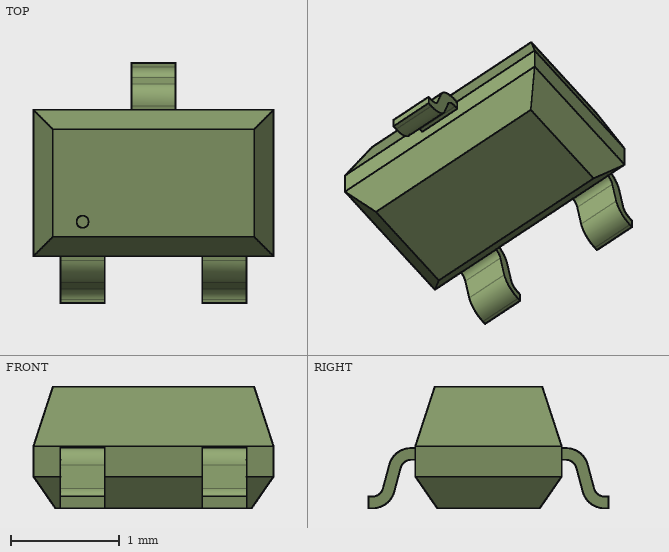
import cadquery as cq
import math

HOUSING_LENGTH = 2.21
HOUSING_WIDTH = 1.348
HOUSING_HEIGHT = 1.12
BELT_BOTTOM = 0.295
BELT_TOP = 0.572
CAP_INSET = 0.18
BASE_INSET = 0.203

LEAD_SPAN = 2.21
LEAD_WIDTH = 0.409
LEAD_THICKNESS = 0.11
LEAD_TOP = 0.557
LEAD_PITCH = 1.305
INNER_BEND_RADIUS = 0.1
OUTER_BEND_RADIUS = INNER_BEND_RADIUS + LEAD_THICKNESS
LEG_ANGLE = math.radians(75)

MARKER_DIAMETER = 0.11
MARKER_DEPTH = 0.022
MARKER_X = -LEAD_PITCH / 2
MARKER_Y = -0.355


def tapered_block(z_start, inset, z_end):
    """Loft from the belt outline at z_start to a rectangle inset on every side at z_end."""
    return (
        cq.Workplane("XY", origin=(0, 0, z_start))
        .rect(HOUSING_LENGTH, HOUSING_WIDTH)
        .workplane(offset=z_end - z_start)
        .rect(HOUSING_LENGTH - 2 * inset, HOUSING_WIDTH - 2 * inset)
        .loft(ruled=True)
    )


def make_marker():
    return (
        cq.Workplane("XY", origin=(MARKER_X, MARKER_Y, HOUSING_HEIGHT - MARKER_DEPTH))
        .circle(MARKER_DIAMETER / 2)
        .extrude(MARKER_DEPTH)
    )


def make_housing(marker):
    belt = (
        cq.Workplane("XY", origin=(0, 0, BELT_BOTTOM))
        .rect(HOUSING_LENGTH, HOUSING_WIDTH)
        .extrude(BELT_TOP - BELT_BOTTOM)
    )
    cap = tapered_block(BELT_TOP, CAP_INSET, HOUSING_HEIGHT)
    base = tapered_block(BELT_BOTTOM, BASE_INSET, 0)
    return belt.union(cap).union(base).cut(marker)


def make_lead(x_center, side):
    """Make one lead; side is +1 for the +Y face of the housing and -1 for the -Y face."""
    root = HOUSING_WIDTH / 2
    tip = LEAD_SPAN / 2

    bend_radius_sum = INNER_BEND_RADIUS + OUTER_BEND_RADIUS
    leg_rise = LEAD_TOP - LEAD_THICKNESS - bend_radius_sum * (1 - math.cos(LEG_ANGLE))
    leg_run = leg_rise / math.tan(LEG_ANGLE)
    flat = (tip - root - bend_radius_sum * math.sin(LEG_ANGLE) - leg_run) / 2

    upper_center = (root + flat, LEAD_TOP - OUTER_BEND_RADIUS)
    lower_center = (tip - flat, OUTER_BEND_RADIUS)

    def upper(radius, angle):
        y, z = upper_center
        return (side * (y + radius * math.sin(angle)), z + radius * math.cos(angle))

    def lower(radius, angle):
        y, z = lower_center
        return (side * (y - radius * math.sin(angle)), z - radius * math.cos(angle))

    half_angle = LEG_ANGLE / 2
    return (
        cq.Workplane("YZ", origin=(x_center - LEAD_WIDTH / 2, 0, 0))
        .moveTo(side * root, LEAD_TOP)
        .lineTo(*upper(OUTER_BEND_RADIUS, 0))
        .threePointArc(upper(OUTER_BEND_RADIUS, half_angle), upper(OUTER_BEND_RADIUS, LEG_ANGLE))
        .lineTo(*lower(INNER_BEND_RADIUS, LEG_ANGLE))
        .threePointArc(lower(INNER_BEND_RADIUS, half_angle), lower(INNER_BEND_RADIUS, 0))
        .lineTo(side * tip, LEAD_THICKNESS)
        .lineTo(side * tip, 0)
        .lineTo(*lower(OUTER_BEND_RADIUS, 0))
        .threePointArc(lower(OUTER_BEND_RADIUS, half_angle), lower(OUTER_BEND_RADIUS, LEG_ANGLE))
        .lineTo(*upper(INNER_BEND_RADIUS, LEG_ANGLE))
        .threePointArc(upper(INNER_BEND_RADIUS, half_angle), upper(INNER_BEND_RADIUS, 0))
        .lineTo(side * root, LEAD_TOP - LEAD_THICKNESS)
        .close()
        .extrude(LEAD_WIDTH)
    )


LEAD_PLACES = [(-LEAD_PITCH / 2, -1), (LEAD_PITCH / 2, -1), (0, 1)]

marker = make_marker()
housing = make_housing(marker)
leads = [make_lead(x_center, side) for x_center, side in LEAD_PLACES]

result = cq.Compound.makeCompound([housing.val(), marker.val(), *[lead.val() for lead in leads]])